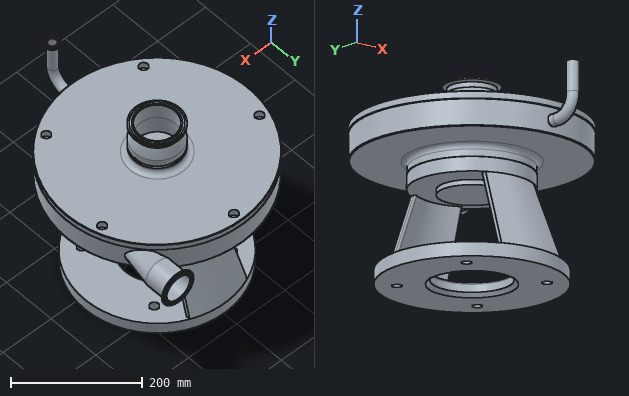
import cadquery as cq
import math

base_radius = 150.0
base_thickness = 23.0
base_hole_radius = 64.0
base_hole_fillet = 3.0
base_hole_chamfer = 7.0
base_bolt_circle_radius = 114.7
base_bolt_count = 4
base_bolt_first_angle = 45

ring_radius = 100.0
ring_bottom = 150.5
ring_top = 174.0

leg_wall = 10.5
leg_half_width_bottom = 59.5
leg_half_width_top = 48.5
leg_edge_fillet = 2.5

bolt_hole_radius = 16.0 / 2

hub_radius = 54.5
hub_bottom = 142.5
neck_radius = 99.0
neck_fillet = 9.5
casing_radius = 377.0 / 2
casing_bottom = 195.5
casing_chamfer = 1.5
lid_radius = 379.0 / 2
lid_bottom = 238.5
lid_top = 251.0
lid_chamfer = 1.0
lid_bolt_circle_radius = 172.0
lid_bolt_count = 5
lid_bolt_first_angle = 90

nozzle_height = 217.5

inlet_top = 316.5
inlet_flange_radius = 91.5 / 2
inlet_flange_edge = 3.0
inlet_gasket_inner = 39.0
inlet_gasket_outer = 42.5
inlet_pipe_radius = 39.0
inlet_bore_radius = 36.0
inlet_wide_bore_radius = 39.0
inlet_groove_radius = 42.0
inlet_groove_bottom = 264.0
inlet_groove_top = 268.8
inlet_fillet = 10.5
reducer_bottom = 282.5
reducer_top = 302.5
reducer_bulge = 1.0
bore_taper_top = 288.0

outlet_x = 145.0
outlet_face_y = 203.5
outlet_flange_radius = 32.0
outlet_flange_edge = 2.5
outlet_gasket_inner = 26.5
outlet_gasket_outer = 29.5
outlet_pipe_radius = 26.0
outlet_wall = 2.3
outlet_cone_start_y = 159.0
outlet_inner_y = 67.8
outlet_cone_slope = 0.19

drain_y = -234.5
drain_top = 306.0
drain_flange_radius = 13.5
drain_flange_edge = 2.5
drain_gasket_inner = 9.5
drain_gasket_outer = 11.7
drain_pipe_radius = 10.0
drain_bore_radius = 7.5
drain_bend_radius = 35.0
drain_inner_y = -180.5

flange_taper = math.tan(math.radians(20))
gasket_groove_depth = 1.5
round_middle = 1 - math.sqrt(0.5)


def cylinder(radius, bottom, top):
    return cq.Workplane("XY").workplane(offset=bottom).circle(radius).extrude(top - bottom)


def bolt_holes(circle_radius, count, first_angle, bottom, top):
    return (
        cq.Workplane("XY")
        .workplane(offset=bottom)
        .polarArray(circle_radius, first_angle, 360, count)
        .circle(bolt_hole_radius)
        .extrude(top - bottom)
    )


def cone(bottom_radius, top_radius):
    """Solid cone filling the height between the base plate and the ring."""
    height = ring_bottom - base_thickness
    bottom_centre = cq.Vector(0, 0, base_thickness)
    return cq.Workplane(cq.Solid.makeCone(bottom_radius, top_radius, height, bottom_centre))


def ferrule(flange_radius, pipe_radius, edge_thickness, groove_inner, groove_outer):
    """Clamp flange whose sealing face lies on z = 0, with a round gasket groove in that face."""
    taper_end = -edge_thickness - (flange_radius - pipe_radius) * flange_taper
    return (
        cq.Workplane("XZ")
        .lineTo(groove_inner, 0)
        .threePointArc(((groove_inner + groove_outer) / 2, -gasket_groove_depth), (groove_outer, 0))
        .lineTo(flange_radius, 0)
        .lineTo(flange_radius, -edge_thickness)
        .lineTo(pipe_radius, taper_end)
        .lineTo(0, taper_end)
        .close()
        .revolve(360, (0, 0, 0), (0, 1, 0))
    )


def make_legs():
    shell = cone(base_radius, ring_radius).cut(cone(base_radius - leg_wall, ring_radius - leg_wall))
    front_shape = (
        cq.Workplane("XZ")
        .polyline([
            (-leg_half_width_bottom, base_thickness),
            (leg_half_width_bottom, base_thickness),
            (leg_half_width_top, ring_bottom),
            (-leg_half_width_top, ring_bottom),
        ])
        .close()
        .extrude(base_radius, both=True)
    )
    legs = shell.intersect(front_shape)
    inner_edge_limit = (base_radius + ring_radius) / 2 - 2 * leg_wall
    sloping_zone = cq.selectors.BoxSelector(
        (-base_radius, -inner_edge_limit, base_thickness + leg_wall),
        (base_radius, inner_edge_limit, ring_bottom - leg_wall),
    )
    return legs.edges(sloping_zone).fillet(leg_edge_fillet)


def make_stand():
    base = cylinder(base_radius, 0, base_thickness).cut(cylinder(base_hole_radius, 0, base_thickness))
    base = base.faces(">Z").edges(cq.selectors.RadiusNthSelector(0)).fillet(base_hole_fillet)
    base = base.faces("<Z").edges(cq.selectors.RadiusNthSelector(0)).chamfer(base_hole_chamfer)
    holes = bolt_holes(base_bolt_circle_radius, base_bolt_count, base_bolt_first_angle, 0, base_thickness)
    base = base.cut(holes)
    ring = cylinder(ring_radius, ring_bottom, ring_top).cut(cylinder(hub_radius, ring_bottom, ring_top))
    return base.union(make_legs()).union(ring)


def make_casing():
    """Hub, filleted neck, drum and lid, all turned about the Z axis."""
    hub = cylinder(hub_radius, hub_bottom, ring_top)
    drum = cylinder(casing_radius, casing_bottom, lid_bottom).edges("<Z").chamfer(casing_chamfer)
    neck_root = neck_radius + neck_fillet
    neck_straight_top = casing_bottom - neck_fillet
    bend = neck_fillet * round_middle
    neck = (
        cq.Workplane("XZ")
        .moveTo(0, ring_top)
        .lineTo(neck_radius, ring_top)
        .lineTo(neck_radius, neck_straight_top)
        .threePointArc((neck_radius + bend, casing_bottom - bend), (neck_root, casing_bottom))
        .lineTo(0, casing_bottom)
        .close()
        .revolve(360, (0, 0, 0), (0, 1, 0))
    )
    lid = cylinder(lid_radius, lid_bottom, lid_top).faces("<Z or >Z").edges().chamfer(lid_chamfer)
    holes = bolt_holes(lid_bolt_circle_radius, lid_bolt_count, lid_bolt_first_angle, lid_bottom, lid_top)
    return hub.union(neck).union(drum).union(lid).cut(holes)


def make_inlet():
    bend = inlet_fillet * round_middle
    groove_slope_drop = (inlet_flange_radius - inlet_groove_radius) * flange_taper
    flange_underside = inlet_top - inlet_flange_edge
    reducer_middle = (
        (inlet_flange_radius + inlet_pipe_radius) / 2 + reducer_bulge,
        (reducer_bottom + reducer_top) / 2,
    )
    body = (
        cq.Workplane("XZ")
        .moveTo(0, lid_top)
        .lineTo(inlet_flange_radius + inlet_fillet, lid_top)
        .threePointArc(
            (inlet_flange_radius + bend, lid_top + bend),
            (inlet_flange_radius, lid_top + inlet_fillet),
        )
        .lineTo(inlet_flange_radius, inlet_groove_bottom)
        .lineTo(inlet_groove_radius, inlet_groove_bottom)
        .lineTo(inlet_groove_radius, inlet_groove_top - groove_slope_drop)
        .lineTo(inlet_flange_radius, inlet_groove_top)
        .lineTo(inlet_flange_radius, reducer_bottom)
        .threePointArc(reducer_middle, (inlet_pipe_radius, reducer_top))
        .lineTo(inlet_pipe_radius, flange_underside)
        .lineTo(0, flange_underside)
        .close()
        .revolve(360, (0, 0, 0), (0, 1, 0))
    )
    flange = ferrule(
        inlet_flange_radius, inlet_pipe_radius, inlet_flange_edge, inlet_gasket_inner, inlet_gasket_outer
    )
    return body.union(flange.translate((0, 0, inlet_top)))


def inlet_bore():
    return (
        cq.Workplane("XZ")
        .moveTo(0, lid_top)
        .lineTo(inlet_wide_bore_radius, lid_top)
        .lineTo(inlet_bore_radius, bore_taper_top)
        .lineTo(inlet_bore_radius, inlet_top)
        .lineTo(0, inlet_top)
        .close()
        .revolve(360, (0, 0, 0), (0, 1, 0))
    )


def outlet_shape(pipe_radius):
    """Straight pipe and inward-tapering cone, measured back from the flange face on z = 0."""
    straight = outlet_face_y - outlet_cone_start_y
    total = outlet_face_y - outlet_inner_y
    tip_radius = pipe_radius - (total - straight) * outlet_cone_slope
    return (
        cq.Workplane("XZ")
        .lineTo(pipe_radius, 0)
        .lineTo(pipe_radius, -straight)
        .lineTo(tip_radius, -total)
        .lineTo(0, -total)
        .close()
        .revolve(360, (0, 0, 0), (0, 1, 0))
    )


def place_outlet(shape):
    return shape.rotate((0, 0, 0), (1, 0, 0), -90).translate((outlet_x, outlet_face_y, nozzle_height))


def make_outlet():
    flange = ferrule(
        outlet_flange_radius, outlet_pipe_radius, outlet_flange_edge, outlet_gasket_inner, outlet_gasket_outer
    )
    return place_outlet(outlet_shape(outlet_pipe_radius).union(flange))


def drain_run(radius):
    bend_start = drain_y + drain_bend_radius
    bend_offset = drain_bend_radius * math.sqrt(0.5)
    bend_centre_height = nozzle_height + drain_bend_radius
    path = (
        cq.Workplane("YZ")
        .moveTo(drain_inner_y, nozzle_height)
        .lineTo(bend_start, nozzle_height)
        .threePointArc(
            (bend_start - bend_offset, bend_centre_height - bend_offset),
            (drain_y, bend_centre_height),
        )
        .lineTo(drain_y, drain_top)
    )
    return (
        cq.Workplane("XZ", origin=(0, drain_inner_y, nozzle_height))
        .circle(radius)
        .sweep(path)
    )


def make_drain():
    flange = ferrule(
        drain_flange_radius, drain_pipe_radius, drain_flange_edge, drain_gasket_inner, drain_gasket_outer
    )
    return drain_run(drain_pipe_radius).union(flange.translate((0, drain_y, drain_top)))


def make_pump():
    pump = make_casing().union(make_inlet()).union(make_outlet()).union(make_drain())
    outlet_bore = place_outlet(outlet_shape(outlet_pipe_radius - outlet_wall))
    bores = [inlet_bore(), outlet_bore, drain_run(drain_bore_radius)]
    for bore in bores:
        pump = pump.cut(bore)
    return pump


stand = make_stand()
pump = make_pump()
result = cq.Compound.makeCompound([stand.solids().val(), pump.solids().val()])